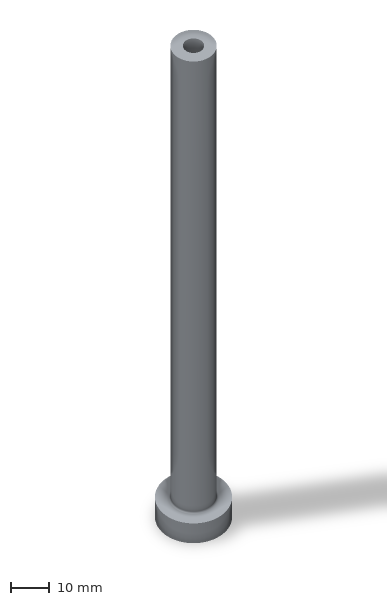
import cadquery as cq

head_diameter = 20.0
head_height = 7.0
shank_diameter = 12.0
shank_length = 160.0
bore_diameter = 5.5
neck_fillet_radius = 0.5

total_length = head_height + shank_length


def make_head():
    """Round flange head standing on the XY plane."""
    return cq.Workplane("XY").circle(head_diameter / 2).extrude(head_height)


def make_shank():
    """Cylindrical shank rising from the base to the free end."""
    return cq.Workplane("XY").circle(shank_diameter / 2).extrude(total_length)


def round_neck(body):
    """Fillet the inner corner where the shank meets the head."""
    neck_edge = cq.selectors.RadiusNthSelector(0)
    head_top = body.faces(cq.selectors.NearestToPointSelector((0, 0, head_height)))
    return head_top.edges(neck_edge).fillet(neck_fillet_radius)


def make_bore():
    """Axial through bore."""
    return cq.Workplane("XY").circle(bore_diameter / 2).extrude(total_length)


result = round_neck(make_head().union(make_shank())).cut(make_bore())